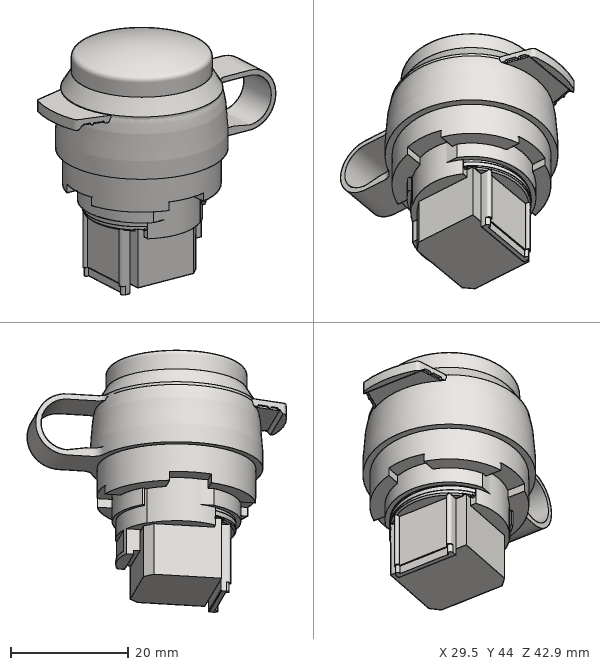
import math
import cadquery as cq


APEX_Z = 19.49
DOME_EDGE_R, DOME_EDGE_Z = 11.23, 17.62
CAP_R, CAP_FILLET_Z = 12.05, 16.65
CONE_TOP_Z = 14.0
RING_R, RING_TOP_Z, RING_BOTTOM_Z = 13.86, 11.1, 10.6
SHOULDER_R, SHOULDER_Z = 14.38, 8.1
SHOULDER_MID_R = 14.19
COLLAR_R, COLLAR_TOP_Z = 14.75, 3.3

SKIRT_R = 13.57
SKIRT_BOTTOM_Z = -6.5
SKIRT_NOTCH_TOP_Z = -4.95
SKIRT_NOTCH_WIDTH = 7.25

STEM_R = 10.27
STEM_BOTTOM_Z = -12.7
STEM_FRONT_Y = -5.1
STEM_REAR_R, STEM_REAR_Y = 10.38, 6.6
SHELL_R, SHELL_BOTTOM_Z = 11.0, -9.5
FRONT_SHELL_HALF_X = 9.98
REAR_SHELL_HALF_X, REAR_SHELL_Y = 8.1, 7.04

NECK_R = 10.14
NECK_BOTTOM_Z = -11.05
NECK_LIP_HALF_X, NECK_LIP_Y, NECK_LIP_BOTTOM_Z = 7.37, -6.64, -11.45
NECK_CHAMFER = 0.3
THREAD_R, THREAD_HEIGHT, THREAD_MID_Z = 10.2, 0.85, -10.25
THREAD_TILT_DEG = 1.3
NUB_R, NUB_X, NUB_LENGTH = 0.25, 8.35, 0.4

BLOCK_HALF_X = 7.8
BLOCK_FRONT_Y, BLOCK_REAR_Y = -6.36, 6.88
BLOCK_BOTTOM_Z = -21.8
BLOCK_CHAMFER = 1.55

PLATE_HALF_X = 5.88
PLATE_BACK_Y, PLATE_FACE_Y, PLATE_TOE_Y = -6.62, -7.8, -7.6
PLATE_BOTTOM_Z = -23.4
PLATE_RIB_WIDTH = 0.9
PLATE_RIB_Y, PLATE_RIB_TOE_Y = -8.43, -8.15
PLATE_RIB_OUTER_ROUND, PLATE_RIB_INNER_ROUND = 0.58, 0.25
PLATE_TOE_CHAMFER = 0.15

CLIP_HALF_X = 4.2
CLIP_INNER_Y, CLIP_TOE_INNER_Y, CLIP_OUTER_Y = 7.12, 8.22, 9.8
CLIP_LEG_BOTTOM_Z, CLIP_BOTTOM_Z = -16.5, -17.2

STRAP_HALF_X = 4.06
STRAP_THICKNESS = 0.96
STRAP_TOP_Z = 11.0
STRAP_OUTER_R = STRAP_TOP_Z / 2
STRAP_INNER_R = STRAP_OUTER_R - STRAP_THICKNESS
STRAP_END_Y = 25.2
STRAP_BEND_Y = STRAP_END_Y - STRAP_OUTER_R
STRAP_FOOT_Y, STRAP_FOOT_THICKNESS = 16.5, 1.5
STRAP_CORNER_R = 2.0

TAB_REACH = 18.78
TAB_ROOT_Y, TAB_ROOT_HALF_X = -11.63, 7.4
TAB_TIP_HALF_X = 5.72
TAB_CORNER_R = 0.9
TAB_BOTTOM_Z, TAB_LIP_BOTTOM_Z = 9.7, 9.05
TAB_ROOT_ROUND = 0.75
TAB_RAMP_Y, TAB_LIP_Y = -16.85, -17.4
GRIP_SPANS = ((-12.95, -14.6), (-15.35, -16.4))
GRIP_TOP_Z, GRIP_SLANT, GRIP_DEPTH = 10.04, 0.25, 0.5


def box(x0, x1, y0, y1, z0, z1):
    """Box between two opposite corners."""
    return cq.Workplane("XY").box(x1 - x0, y1 - y0, z1 - z0, centered=False).translate((x0, y0, z0))


def mirrored_box(half_x, y0, y1, z0, z1):
    """Box centred on X = 0."""
    return box(-half_x, half_x, y0, y1, z0, z1)


def disc(radius, z0, z1):
    """Solid cylinder on the housing axis."""
    return cq.Workplane("XY").workplane(offset=z0).circle(radius).extrude(z1 - z0)


def cap_and_collar():
    """Domed cap, cone, tether ring and bulging collar in one revolved profile."""
    dome_r = (DOME_EDGE_R**2 + (APEX_Z - DOME_EDGE_Z)**2) / (2 * (APEX_Z - DOME_EDGE_Z))
    mid_r = DOME_EDGE_R / 2
    dome_mid = (mid_r, APEX_Z - dome_r + math.sqrt(dome_r**2 - mid_r**2))
    shoulder_mid = (SHOULDER_MID_R, (RING_BOTTOM_Z + SHOULDER_Z) / 2)
    profile = (
        cq.Workplane("XZ")
        .moveTo(0, 0)
        .lineTo(COLLAR_R, 0)
        .lineTo(COLLAR_R, COLLAR_TOP_Z)
        .lineTo(SHOULDER_R, SHOULDER_Z)
        .threePointArc(shoulder_mid, (RING_R, RING_BOTTOM_Z))
        .lineTo(RING_R, RING_TOP_Z)
        .lineTo(CAP_R, CONE_TOP_Z)
        .lineTo(CAP_R, CAP_FILLET_Z)
        .tangentArcPoint((DOME_EDGE_R, DOME_EDGE_Z), relative=False)
        .threePointArc(dome_mid, (0, APEX_Z))
        .close()
    )
    return profile.revolve(360, (0, 0, 0), (0, 1, 0))


def skirt():
    """Round skirt with four notches across its lower rim."""
    body = disc(SKIRT_R, SKIRT_BOTTOM_Z, 0)
    half = SKIRT_NOTCH_WIDTH / 2
    notch = mirrored_box(half, -SKIRT_R, SKIRT_R, SKIRT_BOTTOM_Z, SKIRT_NOTCH_TOP_Z)
    return body.cut(notch).cut(notch.rotate((0, 0, 0), (0, 0, 1), 90))


def stem():
    """Stem cut flat at the front, with a larger shell sector at front and rear."""
    span = SHELL_R
    core = disc(STEM_R, STEM_BOTTOM_Z, 0)
    core = core.cut(mirrored_box(span, -span, STEM_FRONT_Y, STEM_BOTTOM_Z, SHELL_BOTTOM_Z))
    rear_core = disc(STEM_REAR_R, STEM_BOTTOM_Z, 0)
    rear_core = rear_core.intersect(mirrored_box(span, STEM_REAR_Y, span, STEM_BOTTOM_Z, 0))
    shell = disc(SHELL_R, SHELL_BOTTOM_Z, 0)
    front_shell = shell.intersect(mirrored_box(FRONT_SHELL_HALF_X, -span, 0, SHELL_BOTTOM_Z, 0))
    rear_shell = shell.intersect(mirrored_box(REAR_SHELL_HALF_X, REAR_SHELL_Y, span, SHELL_BOTTOM_Z, 0))
    return core.union(rear_core).union(front_shell).union(rear_shell)


def neck():
    """Front neck with a slightly tilted thread ridge, a chamfered lip and two nubs."""
    front = mirrored_box(SHELL_R, -SHELL_R, STEM_FRONT_Y, NECK_LIP_BOTTOM_Z, SHELL_BOTTOM_Z)
    body = disc(NECK_R, NECK_BOTTOM_Z, SHELL_BOTTOM_Z).intersect(front)
    lip_zone = mirrored_box(NECK_LIP_HALF_X, -SHELL_R, NECK_LIP_Y, NECK_LIP_BOTTOM_Z, SHELL_BOTTOM_Z)
    lip = disc(NECK_R, NECK_LIP_BOTTOM_Z, SHELL_BOTTOM_Z).faces("<Z").chamfer(NECK_CHAMFER)
    lip = lip.intersect(lip_zone)
    slab_width = 3 * THREAD_R
    ridge_slab = cq.Workplane("XY").box(slab_width, slab_width, THREAD_HEIGHT)
    ridge_slab = ridge_slab.rotate((0, 0, 0), (0, 1, 0), -THREAD_TILT_DEG).translate((0, 0, THREAD_MID_Z))
    ridge = disc(THREAD_R, NECK_BOTTOM_Z, SHELL_BOTTOM_Z).intersect(ridge_slab).intersect(front)
    nubs = (
        cq.Workplane("XZ", origin=(0, STEM_FRONT_Y, NECK_BOTTOM_Z))
        .pushPoints([(-NUB_X, 0), (NUB_X, 0)])
        .circle(NUB_R)
        .extrude(NUB_LENGTH)
    )
    return body.union(lip).union(ridge).union(nubs)


def block():
    """Square block with its two rear upright edges chamfered."""
    body = mirrored_box(BLOCK_HALF_X, BLOCK_FRONT_Y, BLOCK_REAR_Y, BLOCK_BOTTOM_Z, SKIRT_BOTTOM_Z)
    return body.edges("|Z and >Y").chamfer(BLOCK_CHAMFER)


def plate_rib(face_y, bottom_z):
    """Upright rib along the +X side of the plate with both front corners rounded."""
    inner_x = PLATE_HALF_X - PLATE_RIB_WIDTH
    rib = box(inner_x, PLATE_HALF_X, face_y, PLATE_BACK_Y, bottom_z, SHELL_BOTTOM_Z)
    rib = rib.edges("|Z and <Y and >X").fillet(PLATE_RIB_OUTER_ROUND)
    return rib.edges("|Z and <Y and <X").fillet(PLATE_RIB_INNER_ROUND)


def plate():
    """Thin plate with a rib along each side; plate and ribs thin out at the toe."""
    top_z = SHELL_BOTTOM_Z
    body = mirrored_box(PLATE_HALF_X, PLATE_FACE_Y, PLATE_BACK_Y, BLOCK_BOTTOM_Z, top_z)
    body = body.union(mirrored_box(PLATE_HALF_X, PLATE_TOE_Y, PLATE_BACK_Y, PLATE_BOTTOM_Z, top_z))
    ribs = plate_rib(PLATE_RIB_Y, BLOCK_BOTTOM_Z).union(plate_rib(PLATE_RIB_TOE_Y, PLATE_BOTTOM_Z))
    body = body.union(ribs).union(ribs.mirror("YZ"))
    return body.edges("|X and >Y and <Z").chamfer(PLATE_TOE_CHAMFER)


def clip():
    """Rear clip leg ending in a hook that follows the stem's rear radius."""
    leg = mirrored_box(CLIP_HALF_X, CLIP_INNER_Y, CLIP_OUTER_Y, CLIP_LEG_BOTTOM_Z, STEM_BOTTOM_Z)
    hook = mirrored_box(CLIP_HALF_X, CLIP_TOE_INNER_Y, STEM_REAR_R, CLIP_BOTTOM_Z, CLIP_LEG_BOTTOM_Z)
    return leg.union(hook).intersect(disc(STEM_REAR_R, CLIP_BOTTOM_Z, STEM_BOTTOM_Z))


def strap_root(ring_r, z0, z1):
    """Strap end flaring into a round ring with a concave corner on each side."""
    corner_x = STRAP_HALF_X + STRAP_CORNER_R
    corner_y = math.sqrt((ring_r + STRAP_CORNER_R)**2 - corner_x**2)
    half_x = corner_x * ring_r / (ring_r + STRAP_CORNER_R)
    root = mirrored_box(half_x, 0, corner_y, z0, z1)
    corners = (
        cq.Workplane("XY", origin=(0, 0, z0))
        .pushPoints([(-corner_x, corner_y), (corner_x, corner_y)])
        .circle(STRAP_CORNER_R)
        .extrude(z1 - z0)
    )
    return root.cut(corners)


def tether():
    """Strap bent through a half turn from the ring under the cap to the collar."""
    bend_z = STRAP_OUTER_R
    under_z = STRAP_TOP_Z - STRAP_THICKNESS
    profile = (
        cq.Workplane("YZ")
        .moveTo(0, STRAP_TOP_Z)
        .lineTo(STRAP_BEND_Y, STRAP_TOP_Z)
        .threePointArc((STRAP_END_Y, bend_z), (STRAP_BEND_Y, 0))
        .lineTo(0, 0)
        .lineTo(0, STRAP_FOOT_THICKNESS)
        .lineTo(STRAP_FOOT_Y, STRAP_FOOT_THICKNESS)
        .lineTo(STRAP_BEND_Y, STRAP_THICKNESS)
        .threePointArc((STRAP_BEND_Y + STRAP_INNER_R, bend_z), (STRAP_BEND_Y, under_z))
        .lineTo(0, under_z)
        .close()
    )
    strap = profile.extrude(STRAP_HALF_X, both=True)
    top_root = strap_root(RING_R, under_z, STRAP_TOP_Z)
    foot_root = strap_root(COLLAR_R, 0, STRAP_FOOT_THICKNESS)
    return strap.union(top_root).union(foot_root)


def tab_outline():
    """Tapered tab plan with a rounded tip, as a tall prism."""
    tip_y = -math.sqrt(TAB_REACH**2 - TAB_TIP_HALF_X**2)
    prism = (
        cq.Workplane("XY")
        .moveTo(-TAB_ROOT_HALF_X, TAB_ROOT_Y)
        .lineTo(-TAB_TIP_HALF_X, tip_y)
        .threePointArc((0, -TAB_REACH), (TAB_TIP_HALF_X, tip_y))
        .lineTo(TAB_ROOT_HALF_X, TAB_ROOT_Y)
        .close()
        .extrude(STRAP_TOP_Z)
    )
    return prism.edges("|Z and (not >Y)").fillet(TAB_CORNER_R)


def tab():
    """Thumb tab with a deeper lip at its tip and short grip notches under both sides."""
    round_offset = TAB_ROOT_ROUND * (1 - math.sqrt(0.5))
    side = (
        cq.Workplane("YZ")
        .moveTo(TAB_ROOT_Y, STRAP_TOP_Z)
        .lineTo(TAB_ROOT_Y, TAB_BOTTOM_Z + TAB_ROOT_ROUND)
        .threePointArc(
            (TAB_ROOT_Y - round_offset, TAB_BOTTOM_Z + round_offset),
            (TAB_ROOT_Y - TAB_ROOT_ROUND, TAB_BOTTOM_Z),
        )
        .lineTo(TAB_RAMP_Y, TAB_BOTTOM_Z)
        .lineTo(TAB_LIP_Y, TAB_LIP_BOTTOM_Z)
        .lineTo(-TAB_REACH, TAB_LIP_BOTTOM_Z)
        .lineTo(-TAB_REACH, STRAP_TOP_Z)
        .close()
        .extrude(TAB_ROOT_HALF_X, both=True)
    )
    outline = tab_outline()
    body = side.intersect(outline)
    core = outline.translate((-GRIP_DEPTH, 0, 0)).intersect(outline.translate((GRIP_DEPTH, 0, 0)))
    for start_y, end_y in GRIP_SPANS:
        notch = (
            cq.Workplane("YZ")
            .moveTo(start_y + GRIP_SLANT, TAB_BOTTOM_Z)
            .lineTo(start_y, GRIP_TOP_Z)
            .lineTo(end_y, GRIP_TOP_Z)
            .lineTo(end_y - GRIP_SLANT, TAB_BOTTOM_Z)
            .close()
            .extrude(TAB_ROOT_HALF_X, both=True)
        )
        body = body.cut(notch.cut(core))
    return body


result = cap_and_collar()
for feature in (skirt(), stem(), neck(), block(), plate(), clip(), tether(), tab()):
    result = result.union(feature)